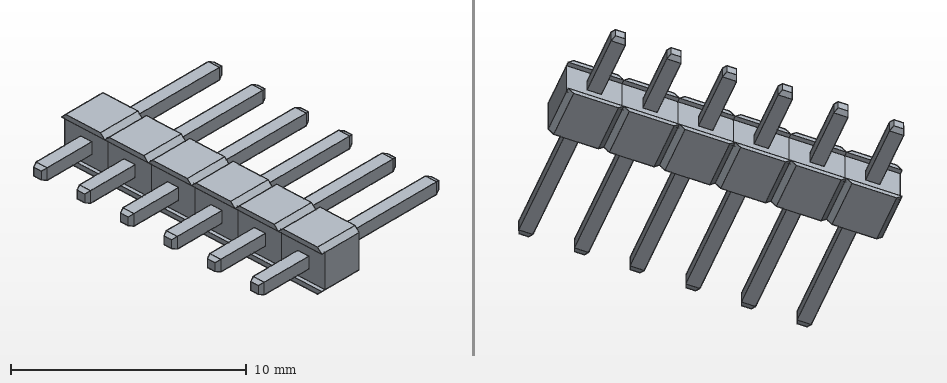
import cadquery as cq

position_count = 6
pitch = 2.54
row_length = position_count * pitch

block_depth = 2.3
block_height = 2.4
block_chamfer = 0.25
recess_depth = 0.2
recess_height = block_height - 2 * block_chamfer

pin_width = 0.65
front_pin_length = 2.8
rear_pin_length = 6.0
tip_length = 0.25
tip_inset = 0.1
tip_width = pin_width - 2 * tip_inset
pin_front_y = -front_pin_length
pin_rear_y = block_depth + rear_pin_length
shank_length = pin_rear_y - pin_front_y - 2 * tip_length


def section_plane(y, direction):
    """XZ sketch plane at the given Y that extrudes towards +Y (1) or -Y (-1)."""
    return cq.Plane(origin=(0, y, 0), xDir=(1, 0, 0), normal=(0, direction, 0))


def make_block():
    """Block with chamfered long edges and a front face set back between two lips."""
    block = (
        cq.Workplane(section_plane(0, 1))
        .rect(pitch, block_height)
        .extrude(block_depth)
        .edges("|Y")
        .chamfer(block_chamfer)
    )
    recess = cq.Workplane(section_plane(0, 1)).rect(pitch, recess_height).extrude(recess_depth)
    return block.cut(recess)


def make_tip(base_y, direction):
    """Tapered pin end that narrows from the shank at base_y."""
    return (
        cq.Workplane(section_plane(base_y, direction))
        .rect(pin_width, pin_width)
        .workplane(offset=tip_length)
        .rect(tip_width, tip_width)
        .loft(ruled=True)
    )


def make_pin():
    """Square shank with a tapered tip at each end."""
    shank_front_y = pin_front_y + tip_length
    shank_rear_y = pin_rear_y - tip_length
    shank = cq.Workplane(section_plane(shank_front_y, 1)).rect(pin_width, pin_width).extrude(shank_length)
    return shank.union(make_tip(shank_front_y, -1)).union(make_tip(shank_rear_y, 1))


def make_contact_unit(center_x):
    """One header position: a block and its pin as a single solid."""
    return make_block().union(make_pin()).translate((center_x, 0, 0))


contact_units = []
for position in range(position_count):
    unit_x = (position + 0.5) * pitch - row_length / 2
    contact_units.append(make_contact_unit(unit_x).val())

result = cq.Compound.makeCompound(contact_units)